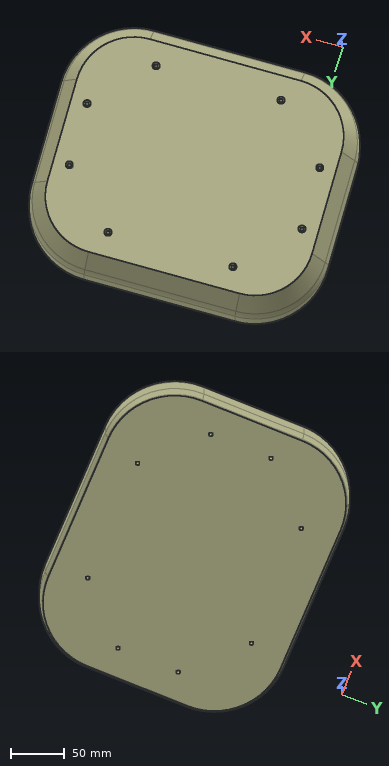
import cadquery as cq
import math

length = 285.0
width = 240.0
height = 63.8
corner_radius = 69.8

bevel_angle = 30.0
lower_bevel_height = 6.3
upper_bevel_height = 26.2
band_height = height - lower_bevel_height - upper_bevel_height
bevel_blend_radius = 20.0

hole_diameter = 3.5
countersink_diameter = 6.8
countersink_angle = 90.0
long_side_hole = (60.0, 82.0)
short_side_hole = (112.0, 30.2)


def inset_at(bevel_height):
    """Distance a bevel of the given height leans inwards."""
    return bevel_height * math.tan(math.radians(bevel_angle))


def rounded_outline(inset, z):
    """Rounded rectangle at height z, offset inwards from the largest outline."""
    return (
        cq.Sketch()
        .rect(length - 2 * inset, width - 2 * inset)
        .vertices()
        .fillet(corner_radius - inset)
        .moved(cq.Location(cq.Vector(0, 0, z)))
    )


def loft_between(lower_inset, lower_z, upper_inset, upper_z):
    """Ruled slab joining two concentric rounded outlines."""
    lower = rounded_outline(lower_inset, lower_z)
    upper = rounded_outline(upper_inset, upper_z)
    return cq.Workplane("XY").placeSketch(lower, upper).loft(ruled=True)


def make_body():
    """Solid body with blended edges where the band meets the bevels."""
    band_bottom = lower_bevel_height
    band_top = band_bottom + band_height
    lower_bevel = loft_between(inset_at(lower_bevel_height), 0, 0, band_bottom)
    band = loft_between(0, band_bottom, 0, band_top)
    upper_bevel = loft_between(0, band_top, inset_at(upper_bevel_height), height)
    body = lower_bevel.union(band).union(upper_bevel)

    margin = 0.3
    for z in (band_bottom, band_top):
        rim = cq.selectors.BoxSelector(
            (-length, -width, z - margin), (length, width, z + margin), boundingbox=True
        )
        body = body.edges(rim).fillet(bevel_blend_radius)
    return body


def mirrored_points(x, y):
    """The point and its mirror images about both centre planes."""
    return [(x, y), (-x, y), (x, -y), (-x, -y)]


hole_points = mirrored_points(*long_side_hole) + mirrored_points(*short_side_hole)

result = (
    make_body()
    .faces(">Z")
    .workplane(origin=(0, 0, height))
    .pushPoints(hole_points)
    .cskHole(hole_diameter, countersink_diameter, countersink_angle)
)